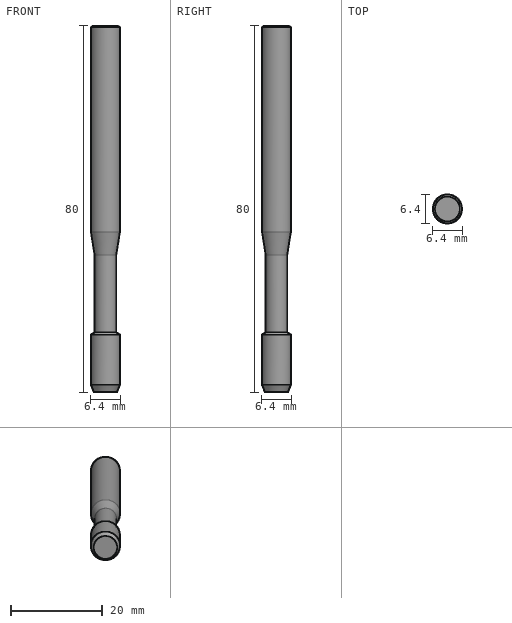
import cadquery as cq

total_length = 80.0
tool_radius = 3.2
neck_radius = 2.4

tip_radius = 2.6
lead_length = 1.6
head_length = 13.0
head_back_chamfer_height = 0.5

neck_top = 30.0
cone_top = 35.0
end_chamfer_width = 0.5
end_chamfer_height = 0.3


def revolve_profile(points):
    """Turn a closed (radius, height) profile about the Z axis."""
    return cq.Workplane("XZ").polyline(points).close().revolve(360, (0, 0, 0), (0, 1, 0))


def make_cutting_head():
    """Cutting head standing on Z = 0; its back face has the neck's radius."""
    return revolve_profile([
        (0, 0),
        (tip_radius, 0),
        (tool_radius, lead_length),
        (tool_radius, head_length - head_back_chamfer_height),
        (neck_radius, head_length),
        (0, head_length),
    ])


def make_shank():
    """Neck, cone and grip, seated on the back face of the head."""
    return revolve_profile([
        (0, head_length),
        (neck_radius, head_length),
        (neck_radius, neck_top),
        (tool_radius, cone_top),
        (tool_radius, total_length - end_chamfer_height),
        (tool_radius - end_chamfer_width, total_length),
        (0, total_length),
    ])


cutting_head = make_cutting_head()
shank = make_shank()

result = cq.Compound.makeCompound([cutting_head.val(), shank.val()])